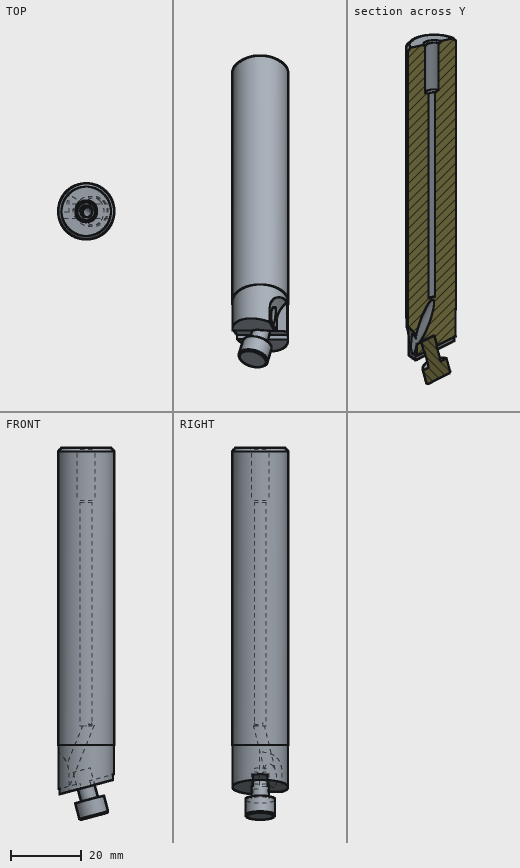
import cadquery as cq
import math

shank_diameter = 16.0
shank_length = 84.2
top_chamfer = 1.0

nose_diameter = 15.8
tilt = 15.0
end_face_z = -96.2

slot_width = 4.1
slot_depth = 1.5

pocket_floor_x = -4.9
pocket_wall_y = -0.15
pocket_line_z = -92.3
pocket_radius = 7.6

inlet_diameter = 5.1
inlet_depth = 15.0
inlet_mouth_diameter = 6.2
drill_point_angle = 118.0
bore_diameter = 3.4
bore_end_z = -78.8
outlet_diameter = 3.0
outlet_point = cq.Vector(pocket_floor_x, 2.95, -92.3)
outlet_axis_point = cq.Vector(0, 0, -80.3)
outlet_overrun = 6.0
outlet_lead = 2.4

screw_diameter = 5.0
screw_engagement = 5.0
head_diameter = 8.5
head_height = 5.0
head_chamfer = 0.4
neck_fillet = 0.3
lowest_z = -105.49

tilt_radians = math.radians(tilt)
head_rim_radius = head_diameter / 2 - head_chamfer
rim_drop = head_rim_radius * math.sin(tilt_radians)
head_bottom = (lowest_z + rim_drop - end_face_z) / math.cos(tilt_radians)
head_top = head_bottom + head_height

cutter_size = 4 * shank_diameter


def to_end_face(shape):
    """Move a shape built on the origin so that its XY plane becomes the end face."""
    return shape.rotate((0, 0, 0), (0, 1, 0), -tilt).translate((0, 0, end_face_z))


def make_blank():
    nose_length = -lowest_z - shank_length
    shank = cq.Workplane("XY").circle(shank_diameter / 2).extrude(-shank_length)
    shank = shank.faces(">Z").chamfer(top_chamfer)
    nose = cq.Workplane("XY", origin=(0, 0, -shank_length)).circle(nose_diameter / 2).extrude(-nose_length)
    return shank.union(nose)


def make_end_cutter():
    """Everything below the tilted end face, plus the key slot above it."""
    below = cq.Workplane("XY").rect(cutter_size, cutter_size).extrude(-cutter_size / 2)
    slot = cq.Workplane("XY").rect(cutter_size, slot_width).extrude(slot_depth)
    return to_end_face(below.union(slot))


def make_pocket_cutter():
    """Flat floor that curves outwards at its upper end, swept from the side wall towards +Y."""
    outer_x = -shank_diameter / 2
    arc_center_x = pocket_floor_x - pocket_radius

    def arc_height(x):
        return pocket_line_z + math.sqrt(pocket_radius**2 - (x - arc_center_x) ** 2)

    middle_x = (pocket_floor_x + outer_x) / 2
    profile = (
        cq.Workplane("XZ", origin=(0, pocket_wall_y, 0))
        .moveTo(outer_x, lowest_z)
        .lineTo(pocket_floor_x, lowest_z)
        .lineTo(pocket_floor_x, pocket_line_z)
        .threePointArc((middle_x, arc_height(middle_x)), (outer_x, arc_height(outer_x)))
        .close()
    )
    return profile.extrude(-shank_diameter)


def make_coolant_cutter():
    inlet_radius = inlet_diameter / 2
    mouth_radius = inlet_mouth_diameter / 2
    bore_radius = bore_diameter / 2
    point_height = (inlet_radius - bore_radius) / math.tan(math.radians(drill_point_angle / 2))
    straight = (
        cq.Workplane("XZ")
        .polyline([
            (0, 0),
            (mouth_radius, 0),
            (inlet_radius, inlet_radius - mouth_radius),
            (inlet_radius, -inlet_depth),
            (bore_radius, -inlet_depth - point_height),
            (bore_radius, bore_end_z),
            (0, bore_end_z),
        ])
        .close()
        .revolve(360, (0, 0, 0), (0, 1, 0))
    )
    path = outlet_point - outlet_axis_point
    start = outlet_axis_point - path.normalized() * outlet_lead
    outlet_length = outlet_lead + path.Length + outlet_overrun
    outlet = cq.Solid.makeCylinder(outlet_diameter / 2, outlet_length, start, path)
    return straight.union(cq.Workplane(outlet))


def make_screw_hole():
    return to_end_face(cq.Workplane("XY").circle(screw_diameter / 2).extrude(screw_engagement))


def make_holder():
    holder = make_blank().cut(make_end_cutter())
    holder = holder.cut(make_pocket_cutter())
    holder = holder.cut(make_coolant_cutter())
    return holder.cut(make_screw_hole())


def make_screw():
    head = cq.Workplane("XY", origin=(0, 0, head_bottom)).circle(head_diameter / 2).extrude(head_height)
    head = head.faces("<Z").chamfer(head_chamfer)
    stem_length = screw_engagement - head_top
    stem = cq.Workplane("XY", origin=(0, 0, head_top)).circle(screw_diameter / 2).extrude(stem_length)
    screw = head.union(stem)
    head_seat = screw.faces(cq.selectors.NearestToPointSelector((head_diameter / 2, 0, head_top)))
    neck_edge = head_seat.edges(cq.selectors.RadiusNthSelector(0))
    return to_end_face(neck_edge.fillet(neck_fillet))


holder = make_holder()
screw = make_screw()
result = cq.Compound.makeCompound([holder.val(), screw.val()])